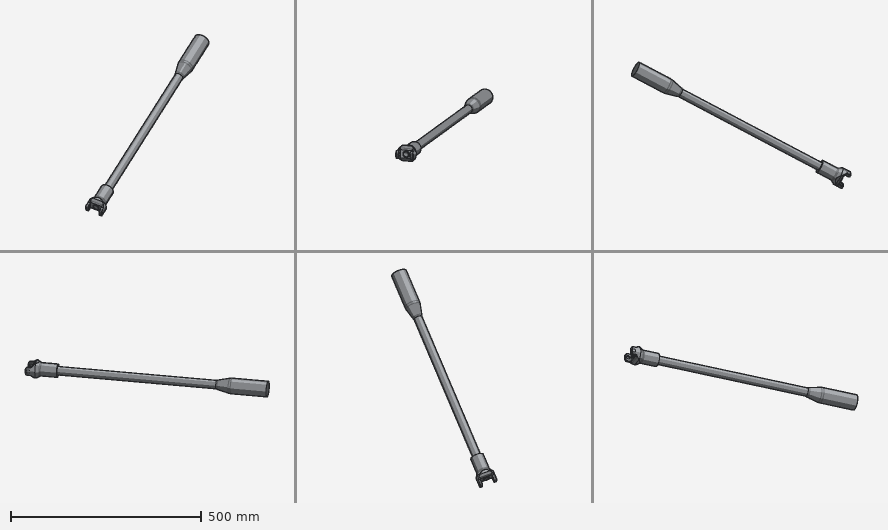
import cadquery as cq
import math

total_length = 647.5

handle_diameter = 42.0
handle_start = 548.0
handle_taper_end = 514.0
handle_taper_diameter = 26.0
handle_blend_radius = 26.0

rod_diameter = 23.0
rod_blend_end = 510.0

collar_diameter = 36.0
collar_end = 83.0
collar_blend_radius = 6.0

head_diameter = 50.0
shoulder_start = 37.6
shoulder_end = 26.5
head_height = 42.0

slot_width = 33.0
slot_depth = 16.5
slot_floor_edge_half_height = 15.0
arm_height = 22.0
bevel_end = 15.0
bevel_start = 25.0
tip_corner_radius = 7.5
tip_chamfer = 3.0

pin_hole_diameter = 10.0
pin_hole_position = 8.0
pin_hole_depth = 5.0

boss_diameter = 17.5
boss_height = 1.5
seat_diameter = 14.0
seat_angle = 118.0

overrun = 1.0


def turned_body():
    """Handle, taper, rod, collar and round head as one solid of revolution about Y."""
    half_profile = (
        cq.Workplane("XY")
        .moveTo(0, 0)
        .lineTo(head_diameter / 2 - tip_chamfer, 0)
        .lineTo(head_diameter / 2, tip_chamfer)
        .lineTo(head_diameter / 2, shoulder_end)
        .lineTo(collar_diameter / 2, shoulder_start)
        .lineTo(collar_diameter / 2, collar_end)
        .lineTo(rod_diameter / 2, collar_end)
        .lineTo(rod_diameter / 2, rod_blend_end)
        .lineTo(handle_taper_diameter / 2, handle_taper_end)
        .lineTo(handle_diameter / 2, handle_start)
        .lineTo(handle_diameter / 2, total_length)
        .lineTo(0, total_length)
        .close()
    )
    body = half_profile.revolve(360, (0, 0, 0), (0, 1, 0))
    body = blend_circle(body, handle_start, handle_blend_radius)
    return blend_circle(body, shoulder_start, collar_blend_radius)


def blend_circle(body, station, radius):
    """Round the circular edge that lies at Y = station."""
    tolerance = 0.01
    low = (-head_diameter, station - tolerance, -head_diameter)
    high = (head_diameter, station + tolerance, head_diameter)
    return body.edges(cq.selectors.BoxSelector(low, high, boundingbox=True)).fillet(radius)


def head_side_cut(side):
    """Waste above (side = 1) or below (side = -1) the head flat, bevel, arms and rounded tips."""
    flat = side * head_height / 2
    arm = side * arm_height / 2
    outside = side * head_diameter
    return (
        cq.Workplane("YZ")
        .moveTo(-overrun, outside)
        .lineTo(-overrun, arm - side * tip_corner_radius)
        .lineTo(0, arm - side * tip_corner_radius)
        .radiusArc((tip_corner_radius, arm), side * tip_corner_radius)
        .lineTo(bevel_end, arm)
        .lineTo(bevel_start, flat)
        .lineTo(collar_end, flat)
        .lineTo(collar_end, outside)
        .close()
        .extrude(head_diameter, both=True)
    )


def slot():
    """Gap between the arms; its floor is chamfered where it meets the sloping bevels."""
    bevel_slope = (bevel_start - bevel_end) / ((head_height - arm_height) / 2)
    chamfer_depth = bevel_end + bevel_slope * (slot_floor_edge_half_height - arm_height / 2)
    return (
        cq.Workplane("YZ")
        .moveTo(-overrun, -head_height)
        .lineTo(chamfer_depth, -head_height)
        .lineTo(chamfer_depth, -slot_floor_edge_half_height)
        .lineTo(slot_depth, -arm_height / 2)
        .lineTo(slot_depth, arm_height / 2)
        .lineTo(chamfer_depth, slot_floor_edge_half_height)
        .lineTo(chamfer_depth, head_height)
        .lineTo(-overrun, head_height)
        .close()
        .extrude(slot_width / 2, both=True)
    )


def boss():
    """Low round boss on the slot floor."""
    return (
        cq.Workplane("XZ", origin=(0, slot_depth - boss_height, 0))
        .circle(boss_diameter / 2)
        .extrude(-boss_height - overrun)
    )


def conical_seat():
    """Conical recess in the end of the boss."""
    seat_radius = seat_diameter / 2
    seat_depth = seat_radius / math.tan(math.radians(seat_angle / 2))
    mouth = slot_depth - boss_height
    return (
        cq.Workplane("XY")
        .polyline([(0, mouth), (seat_radius, mouth), (0, mouth + seat_depth)])
        .close()
        .revolve(360, (0, 0, 0), (0, 1, 0))
    )


def pin_holes():
    """Two aligned blind holes, one in the inner face of each arm."""
    return (
        cq.Workplane("YZ")
        .center(pin_hole_position, 0)
        .circle(pin_hole_diameter / 2)
        .extrude(slot_width / 2 + pin_hole_depth, both=True)
    )


result = turned_body()
for side in (1, -1):
    result = result.cut(head_side_cut(side))
result = result.cut(slot()).cut(pin_holes()).union(boss()).cut(conical_seat())